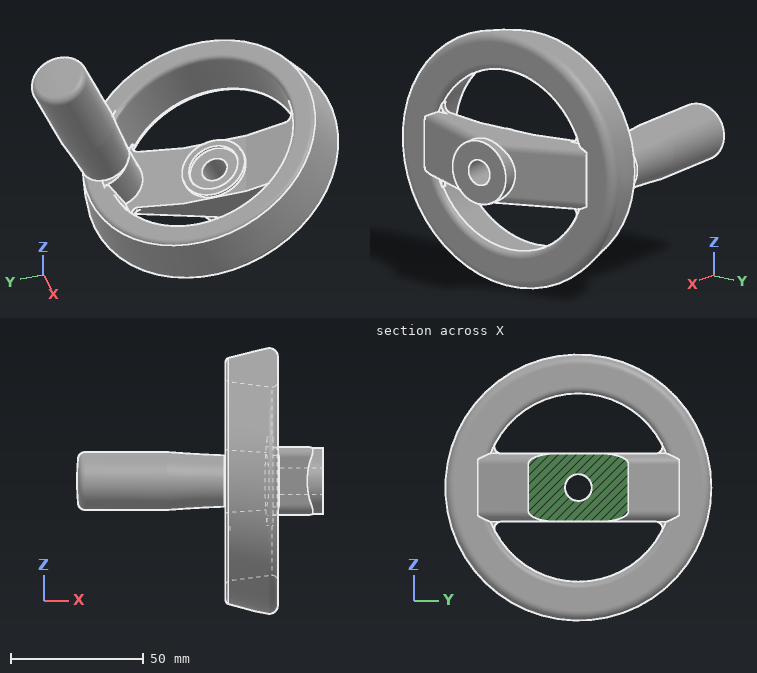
import cadquery as cq
import math


rim_width = 20.0
rim_radius = 100.55 / 2
rim_crest_x = 16.5
rim_back_round = rim_width - rim_crest_x
rim_shoulder_x = 1.1
rim_shoulder_radius = 46.5
rim_flank_bulge = 0.3
rim_front_outer_radius = 44.4
rim_front_inner_radius = 39.4
rim_lip_x = 1.8
rim_lip_radius = 37.5
rim_bore_radius = 35.5
rim_bore_round = 2.5

web_half_width = 12.9
web_back_slope = math.tan(math.radians(22.6))
web_back_apex_x = 36.2
web_apex_round = 11.0
web_edge_round = 4.0
web_front_middle_x = 19.5
web_front_end_x = 14.5
web_end_y = 38.0
window_corner_round = 2.5
window_corner_back_x = 18.0

hub_radius = 25.0 / 2
hub_front_x = 18.0
hub_back_x = 37.0
hub_recess_radius = 19.5 / 2
hub_recess_depth = 1.5
hub_bore_radius = 10.0 / 2

boss_radius = 25.0 / 2
boss_offset = 40.2
boss_back_x = 17.0
boss_outer_limit = rim_front_outer_radius - 0.4

grip_offset = 37.0
grip_length = 56.0
grip_radius = 22.0 / 2
grip_base_radius = 19.5 / 2
grip_taper_length = 22.0
grip_waist_depth = 0.12
grip_end_round_length = 3.5
grip_end_radius = 8.65
grip_end_round_bulge = 0.75
grip_dome_height = 0.4
grip_gap = 0.3
spindle_radius = 8.0 / 2
spindle_seat_depth = 1.0


def x_cylinder(radius, x_start, x_end, y=0.0):
    return cq.Workplane("YZ", origin=(x_start, y, 0)).circle(radius).extrude(x_end - x_start)


def bulged_middle(start, end, bulge):
    """Middle of the chord start-end, moved by bulge to the left of its direction."""
    run = end[0] - start[0]
    rise = end[1] - start[1]
    chord = math.hypot(run, rise)
    x = (start[0] + end[0]) / 2 - bulge * rise / chord
    y = (start[1] + end[1]) / 2 + bulge * run / chord
    return (x, y)


def spin_about_x(profile):
    return profile.revolve(360, (0, 0, 0), (1, 0, 0))


def make_rim():
    quarter_bulge = 1 - math.sqrt(0.5)
    front_outer = (0, rim_front_outer_radius)
    front_inner = (0, rim_front_inner_radius)
    shoulder = (rim_shoulder_x, rim_shoulder_radius)
    crest = (rim_crest_x, rim_radius)
    back_outer = (rim_width, rim_radius - rim_back_round)
    back_inner = (rim_width, rim_bore_radius + rim_bore_round)
    bore_back = (rim_width - rim_bore_round, rim_bore_radius)
    lip = (rim_lip_x, rim_lip_radius)
    shoulder_bulge = quarter_bulge * rim_shoulder_x
    lip_bulge = quarter_bulge * rim_lip_x
    profile = (
        cq.Workplane("XY")
        .moveTo(*front_inner)
        .lineTo(*front_outer)
        .threePointArc(bulged_middle(front_outer, shoulder, shoulder_bulge), shoulder)
        .threePointArc(bulged_middle(shoulder, crest, rim_flank_bulge), crest)
        .threePointArc(bulged_middle(crest, back_outer, quarter_bulge * rim_back_round), back_outer)
        .lineTo(*back_inner)
        .threePointArc(bulged_middle(back_inner, bore_back, quarter_bulge * rim_bore_round), bore_back)
        .lineTo(*lip)
        .threePointArc(bulged_middle(lip, front_inner, lip_bulge), front_inner)
        .close()
    )
    return spin_about_x(profile)


def middle_back_edges(half_height):
    """Selects the edges on the rounded back apex of the web, up to a height above and below Z = 0."""
    reach_x = web_edge_round
    reach_y = 1.0
    return cq.selectors.BoxSelector(
        (web_back_apex_x - reach_x, -reach_y, -half_height),
        (web_back_apex_x + reach_x, reach_y, half_height),
    )


def make_web_bar(half_width):
    back_end_x = web_back_apex_x - web_back_slope * web_end_y
    bar = (
        cq.Workplane("XY", origin=(0, 0, -half_width))
        .moveTo(web_front_end_x, -web_end_y)
        .lineTo(web_front_middle_x, -hub_radius)
        .lineTo(web_front_middle_x, hub_radius)
        .lineTo(web_front_end_x, web_end_y)
        .lineTo(back_end_x, web_end_y)
        .lineTo(web_back_apex_x, 0)
        .lineTo(back_end_x, -web_end_y)
        .close()
        .extrude(2 * half_width)
    )
    return bar.edges(middle_back_edges(half_width / 2)).fillet(web_apex_round)


def make_web():
    bar = make_web_bar(web_half_width)
    return bar.edges(middle_back_edges(2 * web_half_width)).fillet(web_edge_round)


def make_window_corners():
    """Webbing that rounds the four corners between the web and the bore of the rim."""
    overlap = 0.5
    web_zone = cq.Workplane("XY").box(2 * hub_back_x, 2 * rim_radius, 2 * web_half_width)
    windows = (
        x_cylinder(rim_bore_radius, 0, window_corner_back_x)
        .cut(web_zone)
        .edges("|X")
        .fillet(window_corner_round)
    )
    slab = make_web_bar(web_half_width + 1.5 * window_corner_round)
    disc = x_cylinder(rim_bore_radius + overlap, 0, window_corner_back_x)
    return slab.intersect(disc).cut(windows)


def make_boss():
    """Round boss from the web to the front face of the rim, kept inside the outer edge of that face."""
    limit = x_cylinder(boss_outer_limit, 0, boss_back_x)
    return x_cylinder(boss_radius, 0, boss_back_x, boss_offset).intersect(limit)


def make_grip():
    tip = (-grip_length, 0)
    dome_edge = (-grip_length + grip_dome_height, grip_end_radius)
    dome_middle = (-grip_length + grip_dome_height / 4, grip_end_radius / 2)
    barrel_start = (-grip_length + grip_end_round_length, grip_radius)
    barrel_end = (-grip_taper_length, grip_radius)
    base = (-grip_gap, grip_base_radius)
    profile = (
        cq.Workplane("XY")
        .moveTo(*tip)
        .threePointArc(dome_middle, dome_edge)
        .threePointArc(bulged_middle(dome_edge, barrel_start, grip_end_round_bulge), barrel_start)
        .lineTo(*barrel_end)
        .threePointArc(bulged_middle(barrel_end, base, -grip_waist_depth), base)
        .lineTo(-grip_gap, spindle_radius)
        .lineTo(spindle_seat_depth, spindle_radius)
        .lineTo(spindle_seat_depth, 0)
        .close()
    )
    return spin_about_x(profile).translate((0, grip_offset, 0))


def make_part():
    hub = x_cylinder(hub_radius, hub_front_x, hub_back_x)
    wheel = make_rim().union(make_web()).union(make_window_corners()).union(hub)
    part = wheel.union(make_boss()).union(make_grip())
    recess = x_cylinder(hub_recess_radius, hub_front_x, hub_front_x + hub_recess_depth)
    bore = x_cylinder(hub_bore_radius, hub_front_x, hub_back_x)
    return part.cut(recess).cut(bore)


result = make_part()